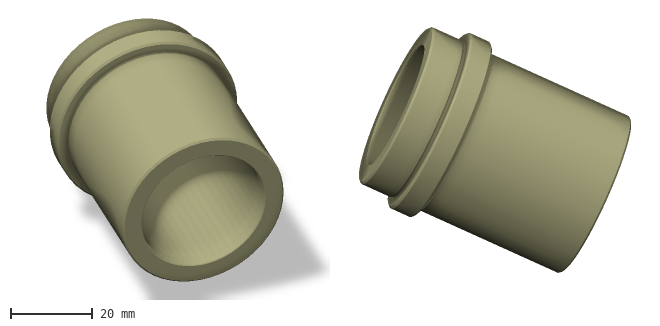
import cadquery as cq

length = 54.0
body_radius = 42.0 / 2
collar_radius = 47.0 / 2
bore_radius = 32.0 / 2

collar_start = 9.0
collar_end = 15.0
edge_chamfer = 0.5
bore_chamfer = 0.2
groove_width = 0.95
groove_depth = groove_width / 2


def cylinder(start, end, radius):
    """Solid cylinder along X between two stations."""
    return cq.Workplane("YZ", origin=(start, 0, 0)).circle(radius).extrude(end - start)


def relief_groove(start):
    """Ring with a rounded floor, to be cut from the body beside the collar."""
    end = start + groove_width
    middle = start + groove_width / 2
    return (
        cq.Workplane("XY")
        .moveTo(start, body_radius)
        .threePointArc((middle, body_radius - groove_depth), (end, body_radius))
        .close()
        .revolve(360, (0, 0, 0), (1, 0, 0))
    )


body = cylinder(0, length, body_radius).edges().chamfer(edge_chamfer)
collar = cylinder(collar_start, collar_end, collar_radius).edges().chamfer(edge_chamfer)
result = body.union(collar)

for groove_start in (collar_start - groove_width, collar_end):
    result = result.cut(relief_groove(groove_start))

bore = cylinder(0, length, bore_radius)
result = result.cut(bore)
bore_edges = result.faces("<X or >X").edges(cq.selectors.RadiusNthSelector(0))
result = bore_edges.chamfer(bore_chamfer)